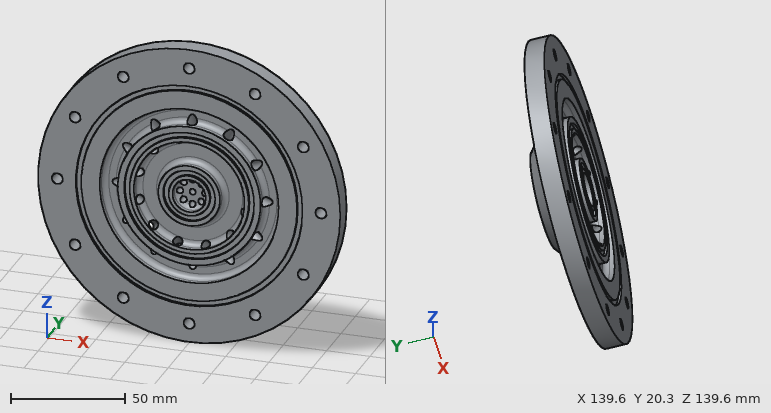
import cadquery as cq
import math

flange_radius = 69.8
flange_thickness = 9.1
total_depth = 20.3
bolt_count = 12
bolt_circle_radius = 60.9
bolt_hole_diameter = 5.0

cone_tip_radius = 22.1
cone_half_angle = 50.0
cone_base_fillet = 4.2

channel_depth = 4.9
floor_fillet = 2.5
outer_channel_radii = (33.0, 41.4)
inner_channel_radii = (14.2, 25.5)
bore_radius = 7.7

seal_width = 2.5
seal_depth = 1.3
seal_inner_radii = (9.5, 27.5, 49.9)

port_count = 12
port_pitch = 360 / port_count
inner_port_diameter = 4.2
inner_port_radius = 26.0
inner_port_lean = 90 - cone_half_angle
inner_port_length = total_depth
outer_port_diameter = 4.5
outer_port_radius = 32.5
outer_port_lean = -60.0
outer_port_length = 16.8

jet_count = 8
jet_diameter = 2.8
jet_circle_radius = 5.7


def revolve(profile):
    """Turn a closed profile of (radius, Y) points around the Y axis."""
    return profile.revolve(360, (0, 0, 0), (0, 1, 0))


def flange_with_cone():
    cone_height = total_depth - flange_thickness
    cone_base_radius = cone_tip_radius + cone_height * math.tan(math.radians(cone_half_angle))
    body = revolve(
        cq.Workplane("XY")
        .lineTo(flange_radius, 0)
        .lineTo(flange_radius, flange_thickness)
        .lineTo(cone_base_radius, flange_thickness)
        .lineTo(cone_tip_radius, total_depth)
        .lineTo(0, total_depth)
        .close()
    )
    cone_base = cq.selectors.RadiusNthSelector(1)
    return body.edges("%CIRCLE").edges(cone_base).fillet(cone_base_fillet)


def ring(inner_radius, outer_radius, depth):
    """Square-cornered ring from the front face down to the given depth."""
    return revolve(
        cq.Workplane("XY")
        .moveTo(inner_radius, 0)
        .lineTo(outer_radius, 0)
        .lineTo(outer_radius, depth)
        .lineTo(inner_radius, depth)
        .close()
    )


def channel(inner_radius, outer_radius):
    """Ring of channel depth with rounded floor corners."""
    return ring(inner_radius, outer_radius, channel_depth).faces(">Y").edges().fillet(floor_fillet)


def through_holes(diameter, points):
    return cq.Workplane("XZ").pushPoints(points).circle(diameter / 2).extrude(-total_depth)


def circle_points(radius, count):
    step = 2 * math.pi / count
    return [(radius * math.cos(i * step), radius * math.sin(i * step)) for i in range(count)]


def ports(diameter, start_radius, lean, length, first_angle):
    """Circle of slanted cylinders; lean is the angle from +Y, positive when it runs outward."""
    lean = math.radians(lean)
    start = cq.Vector(start_radius, channel_depth, 0)
    direction = cq.Vector(math.sin(lean), math.cos(lean), 0)
    overlap = diameter
    port = cq.Solid.makeCylinder(
        diameter / 2, length + overlap, start - direction * overlap, direction
    )
    origin = cq.Vector(0, 0, 0)
    y_axis = cq.Vector(0, 1, 0)
    return [port.rotate(origin, y_axis, first_angle + i * port_pitch) for i in range(port_count)]


result = flange_with_cone()

result = result.cut(channel(*outer_channel_radii))
result = result.cut(channel(*inner_channel_radii))
result = result.cut(channel(0, bore_radius))
for seal_radius in seal_inner_radii:
    result = result.cut(ring(seal_radius, seal_radius + seal_width, seal_depth))

bolt_points = circle_points(bolt_circle_radius, bolt_count)
result = result.cut(through_holes(bolt_hole_diameter, bolt_points))
jet_points = [(0, 0)] + circle_points(jet_circle_radius, jet_count)
result = result.cut(through_holes(jet_diameter, jet_points))

inner_ports = ports(
    inner_port_diameter, inner_port_radius, inner_port_lean, inner_port_length, port_pitch / 2
)
outer_ports = ports(
    outer_port_diameter, outer_port_radius, outer_port_lean, outer_port_length, 0
)
for slanted_port in inner_ports + outer_ports:
    result = result.cut(cq.Workplane(slanted_port))